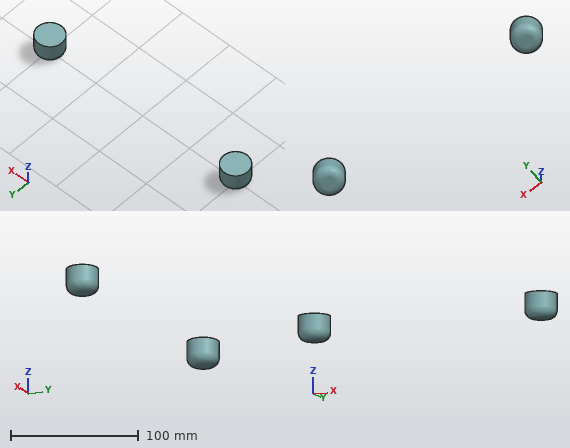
import cadquery as cq

overall_length = 223.5
foot_diameter = 25.5
foot_height = 20.0
edge_radius = 6.7

foot_spacing = overall_length - foot_diameter


def make_foot(center_x):
    """Upright cylinder with a flat top and a rounded bottom edge."""
    return (
        cq.Workplane("XY")
        .center(center_x, 0)
        .circle(foot_diameter / 2)
        .extrude(foot_height)
        .faces("<Z")
        .edges()
        .fillet(edge_radius)
    )


feet = [make_foot(side * foot_spacing / 2) for side in (-1, 1)]

result = cq.Compound.makeCompound([foot.val() for foot in feet])